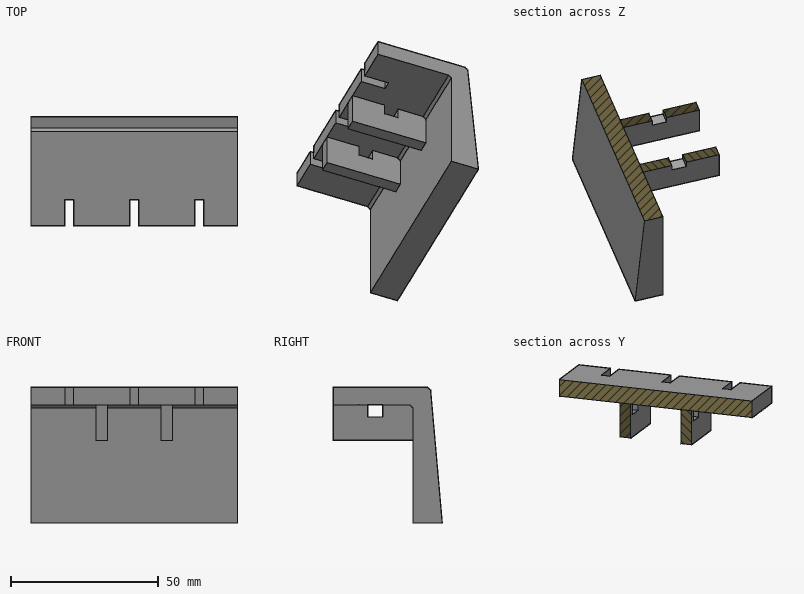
import cadquery as cq
import math

length = 70.0
depth = 37.0
height = 46.0
plate_thickness = 6.0
wall_bottom_thickness = 10.0
back_slope_angle = 5.0
outer_chamfer = 1.0
inner_chamfer = 1.0

slot_pitch = 22.0
slot_width = 3.0
slot_depth = 8.75

rib_width = 4.0
rib_height = 12.0
window_width = 5.0
window_height = 4.0
window_from_front = 11.8

plate_underside = height - plate_thickness
wall_face = depth - wall_bottom_thickness
back_slope = math.tan(math.radians(back_slope_angle))
back_top = depth - height * back_slope
slot_centres = [-slot_pitch, 0.0, slot_pitch]
rib_centres = [-slot_pitch / 2, slot_pitch / 2]


def extrude_along_x(outline, x_centre, width):
    """Closed (Y, Z) outline extruded symmetrically about x_centre."""
    return (
        cq.Workplane("YZ", origin=(x_centre, 0, 0))
        .polyline(outline)
        .close()
        .extrude(width / 2, both=True)
    )


def make_cover():
    chamfer_foot_z = height - outer_chamfer
    outline = [
        (0, height),
        (0, plate_underside),
        (wall_face - inner_chamfer, plate_underside),
        (wall_face, plate_underside - inner_chamfer),
        (wall_face, 0),
        (depth, 0),
        (back_top + back_slope * outer_chamfer, chamfer_foot_z),
        (back_top - outer_chamfer, height),
    ]
    cover = extrude_along_x(outline, 0, length)
    for x in slot_centres:
        slot = cq.Workplane("XY").box(
            slot_width, slot_depth, plate_thickness, centered=(True, False, False)
        )
        cover = cover.cut(slot.translate((x, 0, plate_underside)))
    return cover


def make_rib(x_centre):
    """Rib filling the corner below the plate, with a window against the plate."""
    rib_bottom = plate_underside - rib_height
    window_floor = plate_underside - window_height
    window_back = window_from_front + window_width
    outline = [
        (0, rib_bottom),
        (wall_face, rib_bottom),
        (wall_face, plate_underside - inner_chamfer),
        (wall_face - inner_chamfer, plate_underside),
        (window_back, plate_underside),
        (window_back, window_floor),
        (window_from_front, window_floor),
        (window_from_front, plate_underside),
        (0, plate_underside),
    ]
    return extrude_along_x(outline, x_centre, rib_width)


cover = make_cover()
ribs = [make_rib(x) for x in rib_centres]

result = cq.Compound.makeCompound([cover.val(), *[rib.val() for rib in ribs]])